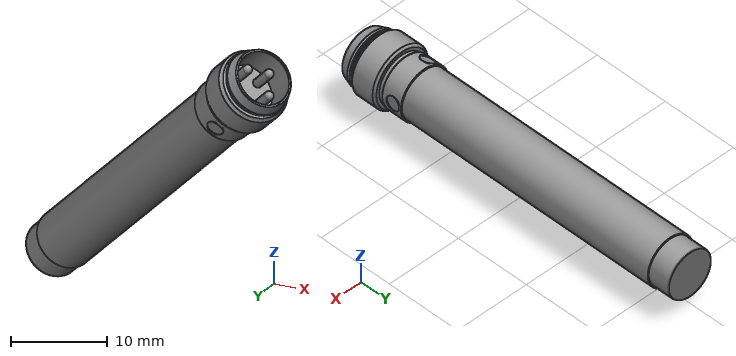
import cadquery as cq
import math

length = 47.9
front_y = -length / 2
back_y = length / 2

ring_dia = 8.0
ring_edge_dia = 7.42
ridge_dia = 7.2
collar_dia = 6.9
neck_dia = 6.6
tube_dia = 6.5
cap_dia = 6.2
cap_end_dia = 6.1
rim_dia = 6.4
socket_dia = 5.95

ridge_front = 1.15
ridge_back = 1.5
ring_front = 1.9
ring_back = 5.55
ring_front_chamfer = 0.4
ring_back_chamfer = 0.3
collar_front = 6.05
collar_back = 8.85
collar_chamfer = 0.1
cap_length = 2.9
cap_taper_length = 0.2
socket_depth = 3.85

window_count = 3
window_dia = 1.85
window_from_opening = 7.65
window_radius = 3.3

pin_dia = 1.0
pin_offset = 1.25
pin_recess = 0.65
pin_places = [(-pin_offset, pin_offset), (pin_offset, pin_offset), (pin_offset, -pin_offset)]


def make_profile():
    """Half outline of the housing, as radius and distance from the socket opening."""
    steps = [
        (rim_dia, 0),
        (ridge_dia, ridge_front),
        (ridge_dia, ridge_back),
        (neck_dia, ridge_back),
        (neck_dia, ring_front),
        (ring_edge_dia, ring_front),
        (ring_dia, ring_front + ring_front_chamfer),
        (ring_dia, ring_back - ring_back_chamfer),
        (ring_edge_dia, ring_back),
        (neck_dia, ring_back),
        (neck_dia, collar_front),
        (collar_dia - 2 * collar_chamfer, collar_front),
        (collar_dia, collar_front + collar_chamfer),
        (collar_dia, collar_back),
        (tube_dia, collar_back),
        (tube_dia, length - cap_length),
        (cap_dia, length - cap_length),
        (cap_dia, length - cap_taper_length),
        (cap_end_dia, length),
    ]
    outside = [(dia / 2, front_y + distance) for dia, distance in steps]
    inside = [
        (0, back_y),
        (0, front_y + socket_depth),
        (socket_dia / 2, front_y + socket_depth),
        (socket_dia / 2, front_y),
    ]
    return outside + inside


def make_window_cutter(angle):
    """Cylinder that sinks one flat window, turned by the angle from +X about the axis."""
    return (
        cq.Workplane("YZ", origin=(window_radius, front_y + window_from_opening, 0))
        .circle(window_dia / 2)
        .extrude(ring_dia / 2 - window_radius)
        .rotate((0, 0, 0), (0, 1, 0), angle)
    )


def make_housing():
    housing = cq.Workplane("XY").polyline(make_profile()).close().revolve(360, (0, 0), (0, 1))
    for index in range(window_count):
        housing = housing.cut(make_window_cutter(index * 360 / window_count))
    return housing


def make_pin(x, z):
    """Round pin standing on the socket floor, with a domed tip toward the opening."""
    tip_y = front_y + pin_recess
    floor_y = front_y + socket_depth
    dome_height = pin_dia / 2
    shoulder_y = tip_y + dome_height
    middle = dome_height * math.sqrt(0.5)
    return (
        cq.Workplane("XY")
        .moveTo(0, floor_y)
        .lineTo(pin_dia / 2, floor_y)
        .lineTo(pin_dia / 2, shoulder_y)
        .threePointArc((middle, shoulder_y - middle), (0, tip_y))
        .close()
        .revolve(360, (0, 0), (0, 1))
        .translate((x, 0, z))
    )


housing = make_housing()
pins = [make_pin(x, z) for x, z in pin_places]

result = cq.Compound.makeCompound([housing.val(), *[pin.val() for pin in pins]])